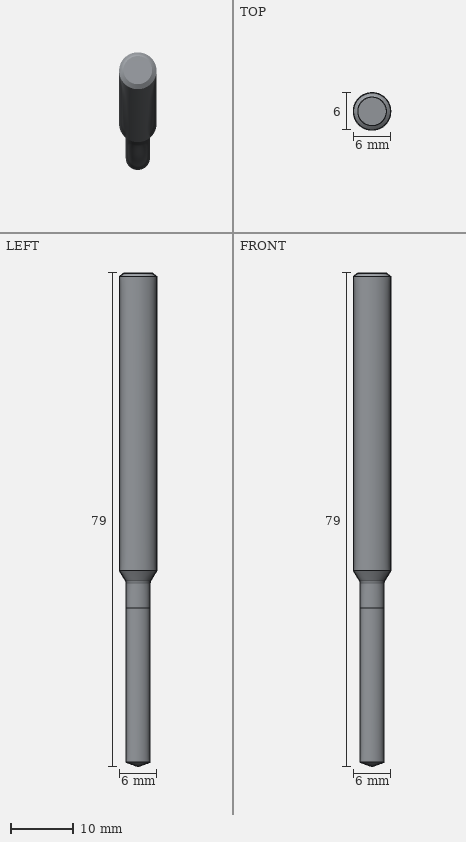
import cadquery as cq

total_length = 79.0
shank_diameter = 6.0
neck_diameter = 3.9
end_chamfer_width = 0.7
end_chamfer_height = 0.55
cutter_length = 25.4
neck_length = 4.2
taper_length = 1.7
neck_fillet_radius = 0.8
point_height = 0.7

shank_radius = shank_diameter / 2
neck_radius = neck_diameter / 2
taper_bottom = cutter_length + neck_length
taper_top = taper_bottom + taper_length


def revolve_about_z(profile):
    """Revolve a closed XZ-plane profile, given as (radius, height) points, about the Z axis."""
    return cq.Workplane("XZ").polyline(profile).close().revolve(360, (0, 0), (0, 1))


def make_holder():
    """Chamfered shank that tapers down to a short neck, with a fillet where taper and neck meet."""
    blank = revolve_about_z([
        (0, cutter_length),
        (neck_radius, cutter_length),
        (neck_radius, taper_bottom),
        (shank_radius, taper_top),
        (shank_radius, total_length - end_chamfer_height),
        (shank_radius - end_chamfer_width, total_length),
        (0, total_length),
    ])
    taper_foot = cq.selectors.BoxSelector(
        (-shank_radius, -shank_radius, taper_bottom - taper_length / 2),
        (shank_radius, shank_radius, taper_bottom + taper_length / 4),
        boundingbox=True,
    )
    return blank.edges("%CIRCLE").edges(taper_foot).fillet(neck_fillet_radius)


def make_cutter():
    """Round rod with a shallow conical point, butted against the neck."""
    return revolve_about_z([
        (0, 0),
        (neck_radius, point_height),
        (neck_radius, cutter_length),
        (0, cutter_length),
    ])


holder = make_holder()
cutter = make_cutter()

result = cq.Compound.makeCompound([holder.val(), cutter.val()])